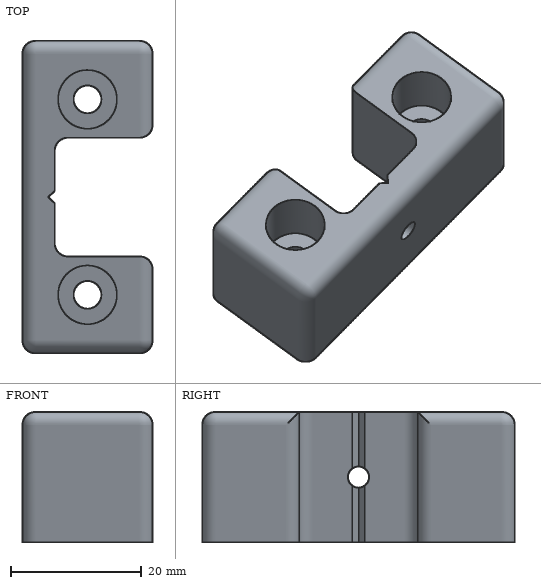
import cadquery as cq

length = 48.0
width = 20.0
height = 20.0
edge_radius = 2.0

back_wall = 5.0
slot_width = 18.2
slot_floor_x = back_wall - width / 2

groove_depth = 1.0
groove_width = 1.85

screw_spacing = 30.0
screw_diameter = 4.2
counterbore_diameter = 9.0
counterbore_depth = height / 2

cross_hole_diameter = 3.2


def rounded_block():
    """Block with rounded upright and top edges and a sharp bottom."""
    block = cq.Workplane("XY").box(width, length, height, centered=(True, True, False))
    return block.edges("|Z").fillet(edge_radius).faces(">Z").edges().fillet(edge_radius)


def slot_cutter():
    """Full-height slot with rounded floor corners and flared mouth corners."""
    half = slot_width / 2
    mouth_x = width / 2
    r = edge_radius
    return (
        cq.Workplane("XY")
        .moveTo(slot_floor_x, r - half)
        .radiusArc((slot_floor_x + r, -half), -r)
        .lineTo(mouth_x - r, -half)
        .radiusArc((mouth_x, -half - r), r)
        .lineTo(mouth_x, half + r)
        .radiusArc((mouth_x - r, half), r)
        .lineTo(slot_floor_x + r, half)
        .radiusArc((slot_floor_x, half - r), -r)
        .close()
        .extrude(height)
    )


def groove_cutter():
    """Full-height V-groove centred on the slot floor."""
    return (
        cq.Workplane("XY")
        .moveTo(slot_floor_x - groove_depth, 0)
        .lineTo(slot_floor_x, -groove_width / 2)
        .lineTo(slot_floor_x, groove_width / 2)
        .close()
        .extrude(height)
    )


def screw_hole_cutter():
    """Through holes counterbored from the top, one in each arm."""
    centers = [(0, -screw_spacing / 2), (0, screw_spacing / 2)]
    through = cq.Workplane("XY").pushPoints(centers).circle(screw_diameter / 2).extrude(height)
    counterbore = (
        cq.Workplane("XY", origin=(0, 0, height))
        .pushPoints(centers)
        .circle(counterbore_diameter / 2)
        .extrude(-counterbore_depth)
    )
    return through.union(counterbore)


def cross_hole_cutter():
    """Hole along X at mid-height, from the back face into the slot."""
    return (
        cq.Workplane("YZ", origin=(-width / 2, 0, height / 2))
        .circle(cross_hole_diameter / 2)
        .extrude(width)
    )


result = (
    rounded_block()
    .cut(slot_cutter())
    .cut(groove_cutter())
    .cut(screw_hole_cutter())
    .cut(cross_hole_cutter())
)